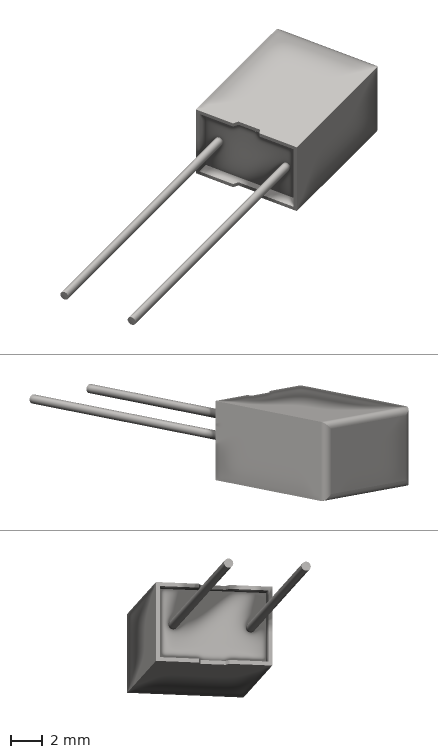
import cadquery as cq


CASE_WIDTH = 7.5
CASE_HEIGHT = 5.11
CASE_LENGTH = 10.12
WALL = 0.25
BACK_FILLET = 0.45

NOTCH_MOUTH_WIDTH = 1.97
NOTCH_FLOOR_WIDTH = 1.6
NOTCH_DEPTH = 0.35

RECESS_DEPTH = 0.8

OVERALL_LENGTH = 28.1
LEAD_DIAMETER = 0.6
LEAD_SPACING = 5.0

CAVITY_WIDTH = CASE_WIDTH - 2 * WALL
CAVITY_HEIGHT = CASE_HEIGHT - 2 * WALL
CAVITY_END = CASE_LENGTH - WALL
LEAD_TIP = OVERALL_LENGTH - CASE_LENGTH


def block(width, height, y_start, y_end):
    """Box centred on the Y axis, spanning y_start to y_end."""
    return cq.Workplane("XY").box(width, y_end - y_start, height, centered=(True, False, True)).translate(
        (0, y_start, 0)
    )


def make_notch_cutter():
    """Trapezoidal prism through both the upper and lower walls."""
    return (
        cq.Workplane("XY")
        .polyline(
            [
                (-NOTCH_MOUTH_WIDTH / 2, 0),
                (-NOTCH_FLOOR_WIDTH / 2, NOTCH_DEPTH),
                (NOTCH_FLOOR_WIDTH / 2, NOTCH_DEPTH),
                (NOTCH_MOUTH_WIDTH / 2, 0),
            ]
        )
        .close()
        .extrude(CASE_HEIGHT / 2, both=True)
    )


def make_case():
    """Thin-walled case with a rounded back and a notched open mouth."""
    shell = block(CASE_WIDTH, CASE_HEIGHT, 0, CASE_LENGTH).faces(">Y").edges().fillet(BACK_FILLET)
    cavity = block(CAVITY_WIDTH, CAVITY_HEIGHT, 0, CAVITY_END)
    return shell.cut(cavity).cut(make_notch_cutter())


def make_fill():
    """Potting that fills the cavity up to a face set back from the mouth."""
    return block(CAVITY_WIDTH, CAVITY_HEIGHT, RECESS_DEPTH, CAVITY_END)


def make_lead(x):
    """Round wire from the potting face to the lead tip."""
    return (
        cq.Workplane("XZ", origin=(x, RECESS_DEPTH, 0))
        .circle(LEAD_DIAMETER / 2)
        .extrude(RECESS_DEPTH + LEAD_TIP)
    )


case = make_case()
fill = make_fill()
leads = [make_lead(side * LEAD_SPACING / 2) for side in (-1, 1)]

result = cq.Compound.makeCompound([case.val(), fill.val(), *[lead.val() for lead in leads]])